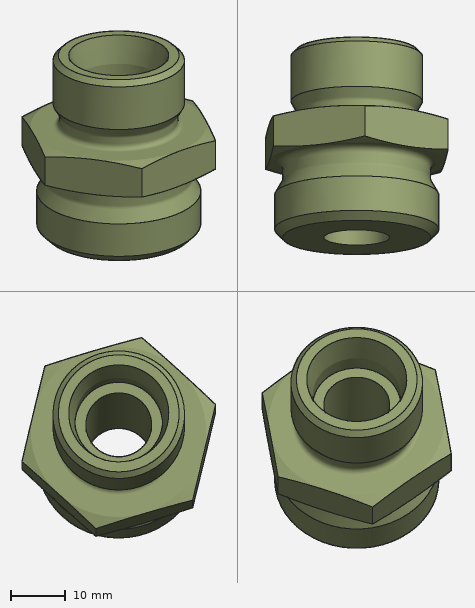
import cadquery as cq
import math

stud_length = 14.0
hex_height = 7.0
hex_across_corners = 36.95
hex_across_flats = hex_across_corners * math.cos(math.radians(30))
hex_chamfer_angle = 15.0

lower_diameter = 30.0
lower_neck_diameter = 27.0
lower_end_chamfer = 1.5
lower_shoulder_length = 6.02

upper_diameter = 24.0
upper_neck_diameter = 21.7
upper_end_chamfer = 1.0
upper_shoulder_length = 4.5

neck_cone_angle = 30.0
lower_neck_fillet = 1.2
upper_neck_fillet = 1.0

bore_diameter = 12.0
seat_diameter = 16.0
seat_mouth_diameter = 18.25
seat_half_angle = 12.0
seat_depth = 8.5

hex_bottom = stud_length
hex_top = hex_bottom + hex_height
total_height = hex_top + stud_length


def stud(diameter, neck_diameter, end_chamfer, shoulder_length, neck_fillet):
    """Stud rising from Z = 0, with a filleted undercut neck next to its root."""
    radius = diameter / 2
    neck_radius = neck_diameter / 2
    cone_length = (radius - neck_radius) / math.tan(math.radians(neck_cone_angle))
    cone_start = shoulder_length - cone_length
    half_turn = math.radians(neck_cone_angle / 2)
    turn = math.radians(neck_cone_angle)
    tangent_length = neck_fillet * math.tan(half_turn)
    fillet_center_radius = neck_radius + neck_fillet
    bend_start = cone_start - tangent_length
    root_diagonal = neck_fillet * math.sqrt(0.5)
    return (
        cq.Workplane("XZ")
        .lineTo(fillet_center_radius, 0)
        .threePointArc(
            (fillet_center_radius - root_diagonal, neck_fillet - root_diagonal),
            (neck_radius, neck_fillet),
        )
        .lineTo(neck_radius, bend_start)
        .threePointArc(
            (
                fillet_center_radius - neck_fillet * math.cos(half_turn),
                bend_start + neck_fillet * math.sin(half_turn),
            ),
            (
                fillet_center_radius - neck_fillet * math.cos(turn),
                bend_start + neck_fillet * math.sin(turn),
            ),
        )
        .lineTo(radius, shoulder_length)
        .lineTo(radius, stud_length - end_chamfer)
        .lineTo(radius - end_chamfer, stud_length)
        .lineTo(0, stud_length)
        .close()
        .revolve(360, (0, 0), (0, 1))
    )


def chamfered_hexagon():
    """Hexagon with corners on the Y axis, its corners turned down on both faces."""
    prism = (
        cq.Workplane("XY")
        .polygon(6, hex_across_corners)
        .extrude(hex_height)
        .rotate((0, 0, 0), (0, 0, 1), 90)
    )
    face_radius = hex_across_flats / 2
    corner_radius = hex_across_corners / 2
    corner_drop = (corner_radius - face_radius) * math.tan(math.radians(hex_chamfer_angle))
    turned_blank = (
        cq.Workplane("XZ")
        .polyline([
            (0, 0),
            (face_radius, 0),
            (corner_radius, corner_drop),
            (corner_radius, hex_height - corner_drop),
            (face_radius, hex_height),
            (0, hex_height),
        ])
        .close()
        .revolve(360, (0, 0), (0, 1))
    )
    return prism.intersect(turned_blank)


def bore():
    """Through bore, cylindrical tube seat and tapered mouth as one cutting solid."""
    taper_length = (seat_mouth_diameter - seat_diameter) / 2 / math.tan(math.radians(seat_half_angle))
    seat_floor = total_height - seat_depth
    return (
        cq.Workplane("XZ")
        .polyline([
            (0, 0),
            (bore_diameter / 2, 0),
            (bore_diameter / 2, seat_floor),
            (seat_diameter / 2, seat_floor),
            (seat_diameter / 2, total_height - taper_length),
            (seat_mouth_diameter / 2, total_height),
            (0, total_height),
        ])
        .close()
        .revolve(360, (0, 0), (0, 1))
    )


hexagon = chamfered_hexagon().translate((0, 0, hex_bottom))
lower_stud = (
    stud(
        lower_diameter, lower_neck_diameter, lower_end_chamfer,
        lower_shoulder_length, lower_neck_fillet,
    )
    .rotate((0, 0, 0), (1, 0, 0), 180)
    .translate((0, 0, hex_bottom))
)
upper_stud = stud(
    upper_diameter, upper_neck_diameter, upper_end_chamfer,
    upper_shoulder_length, upper_neck_fillet,
).translate((0, 0, hex_top))

result = hexagon.union(lower_stud).union(upper_stud).cut(bore())